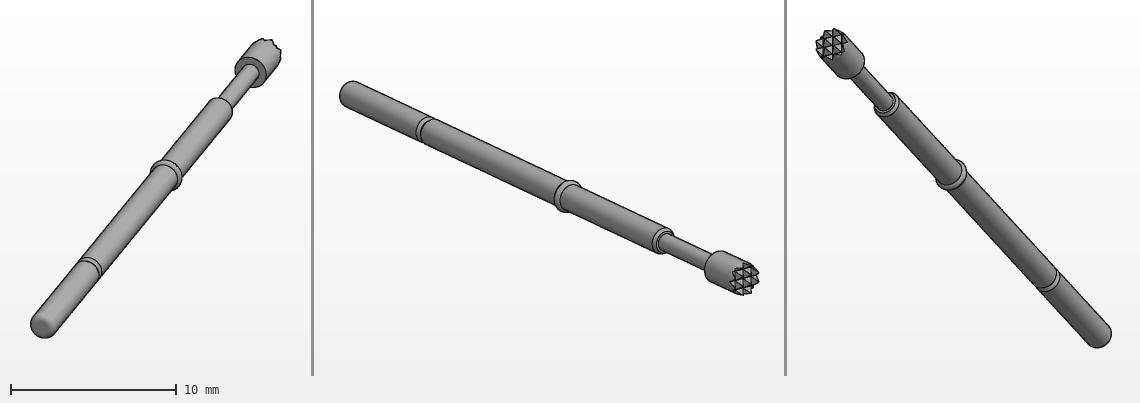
import cadquery as cq
import math

length = 40.3

sleeve_radius = 0.825
sleeve_end = 32.05
mouth_radius = 0.7
mouth_taper = 0.25
tail_round = 0.4

ring_radius = 1.0
ring_center = 22.25
ring_width = 0.52

crimp_center = 8.22
crimp_width = 0.5
crimp_depth = 0.15

plunger_radius = 0.545
head_radius = 1.0
head_length = 3.0
crown_radius = 0.93
crown_height = 0.52

tooth_pitch = 0.6
tooth_angle = 67.0
tooth_grooves_per_side = 1
tooth_depth = tooth_pitch / 2 / math.tan(math.radians(tooth_angle / 2))
cut_clearance = 0.4


def make_turned_body():
    """Tail, sleeve, ring, plunger and tapered head as one revolved profile around Y."""
    arc_offset = tail_round * math.sqrt(0.5)
    tail_arc_mid = (sleeve_radius - tail_round + arc_offset, tail_round - arc_offset)
    head_start = length - head_length
    profile = (
        cq.Workplane("XY")
        .lineTo(sleeve_radius - tail_round, 0)
        .threePointArc(tail_arc_mid, (sleeve_radius, tail_round))
        .lineTo(sleeve_radius, crimp_center - crimp_width / 2)
        .lineTo(sleeve_radius - crimp_depth, crimp_center)
        .lineTo(sleeve_radius, crimp_center + crimp_width / 2)
        .lineTo(sleeve_radius, ring_center - ring_width / 2)
        .threePointArc(
            (ring_radius, ring_center),
            (sleeve_radius, ring_center + ring_width / 2),
        )
        .lineTo(sleeve_radius, sleeve_end - mouth_taper)
        .lineTo(mouth_radius, sleeve_end)
        .lineTo(plunger_radius, sleeve_end)
        .lineTo(plunger_radius, head_start)
        .lineTo(head_radius, head_start)
        .lineTo(head_radius, length - crown_height)
        .lineTo(crown_radius, length)
        .lineTo(0, length)
        .close()
    )
    return profile.revolve(360, (0, 0, 0), (0, 1, 0))


def make_tooth_groove(center):
    """V groove running along Z across the head end, with its root at X = center."""
    root = length - tooth_depth
    half_width = tooth_pitch / 2
    return (
        cq.Workplane("XY")
        .moveTo(center, root)
        .lineTo(center + half_width, length)
        .lineTo(center + half_width, length + cut_clearance)
        .lineTo(center - half_width, length + cut_clearance)
        .lineTo(center - half_width, length)
        .close()
        .extrude(head_radius + cut_clearance, both=True)
    )


result = make_turned_body()
for step in range(-tooth_grooves_per_side, tooth_grooves_per_side + 1):
    groove = make_tooth_groove(step * tooth_pitch)
    crossing_groove = groove.rotate((0, 0, 0), (0, 1, 0), 90)
    result = result.cut(groove).cut(crossing_groove)